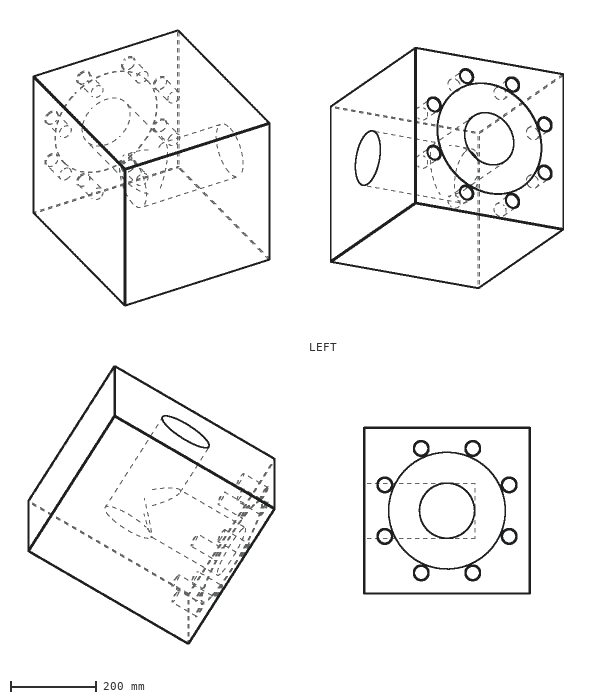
import cadquery as cq
import math

length = 440.0
side = 390.0
edge_chamfer = 2.0

bore_diameter = 129.0
bore_radius = bore_diameter / 2
port_face_x = -length / 2
side_bore_x = length / 2 - side / 2

seat_diameter = 273.2
seat_depth = 2.0

bolt_count = 8
bolt_circle_diameter = 315.0
bolt_diameter = 32.0
bolt_radius = bolt_diameter / 2
mouth_radius = 36.0 / 2
bolt_depth = 66.0
drill_point_angle = 150.0


def make_port_cylinder(diameter, depth):
    """Solid cylinder running inward (+X) from the port face."""
    return cq.Workplane("YZ", origin=(port_face_x, 0, 0)).circle(diameter / 2).extrude(depth)


def make_side_bore():
    """Cylinder along Y, just wide enough to catch the full port bore, open at +Y."""
    start = cq.Workplane("XZ", origin=(side_bore_x, -bore_radius, 0))
    return start.circle(bore_radius).extrude(-(side / 2 + bore_radius))


def make_bolt_hole():
    """Revolved bolt hole on the X axis, with its mouth on the port face."""
    mouth_depth = mouth_radius - bolt_radius
    tip_length = bolt_radius / math.tan(math.radians(drill_point_angle / 2))
    profile = (
        cq.Workplane("XY", origin=(port_face_x, 0, 0))
        .moveTo(0, 0)
        .lineTo(0, mouth_radius)
        .lineTo(mouth_depth, bolt_radius)
        .lineTo(bolt_depth, bolt_radius)
        .lineTo(bolt_depth + tip_length, 0)
        .close()
    )
    return profile.revolve(360, (0, 0, 0), (1, 0, 0))


block = cq.Workplane("XY").box(length, side, side).edges().chamfer(edge_chamfer)

result = block.cut(make_port_cylinder(seat_diameter, seat_depth))
result = result.cut(make_port_cylinder(bore_diameter, side_bore_x - port_face_x))
result = result.cut(make_side_bore())

bolt_pitch = 360 / bolt_count
bolt_hole = make_bolt_hole().translate((0, bolt_circle_diameter / 2, 0))
for i in range(bolt_count):
    result = result.cut(bolt_hole.rotate((0, 0, 0), (1, 0, 0), (i + 0.5) * bolt_pitch))